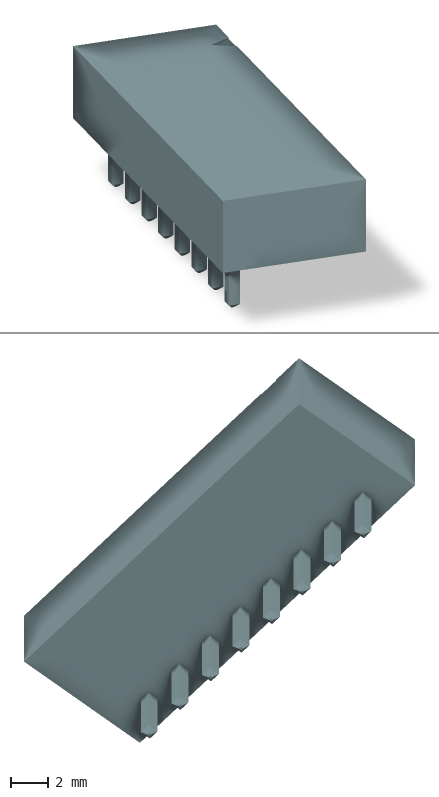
import cadquery as cq

housing_length = 22.5
housing_width = 8.2
housing_height = 4.2

mark_width = 1.25
mark_length = 1.25
mark_depth = 0.08

pin_count = 8
pin_pitch = 2.5
pin_size = 0.64
pin_length = 3.2
pin_edge_distance = 1.5

tip_length = 0.25
tip_end_size = pin_size - 2 * tip_length

rear_y = housing_width / 2
pin_row_y = -housing_width / 2 + pin_edge_distance
first_pin_x = -(pin_count - 1) * pin_pitch / 2
pin_positions = [first_pin_x + index * pin_pitch for index in range(pin_count)]


def make_housing():
    """Plain block with the pin 1 mark in its top face, in line with the first pin."""
    block = cq.Workplane("XY").box(
        housing_length, housing_width, housing_height, centered=(True, True, False)
    )
    mark = (
        cq.Workplane("XY", origin=(first_pin_x, rear_y, housing_height))
        .moveTo(-mark_width / 2, 0)
        .lineTo(mark_width / 2, 0)
        .lineTo(0, -mark_length)
        .close()
        .extrude(-mark_depth)
    )
    return block.cut(mark)


def make_pin(x):
    """Square pin hanging from the underside of the housing, tapering to its tip."""
    shank_length = pin_length - tip_length
    shank = (
        cq.Workplane("XY", origin=(x, pin_row_y, -shank_length))
        .rect(pin_size, pin_size)
        .extrude(shank_length)
    )
    tip = (
        cq.Workplane("XY", origin=(x, pin_row_y, -shank_length))
        .rect(pin_size, pin_size)
        .workplane(offset=-tip_length)
        .rect(tip_end_size, tip_end_size)
        .loft(ruled=True)
    )
    return shank.union(tip)


housing = make_housing()
pins = [make_pin(x) for x in pin_positions]

result = cq.Compound.makeCompound([housing.val(), *[pin.val() for pin in pins]])